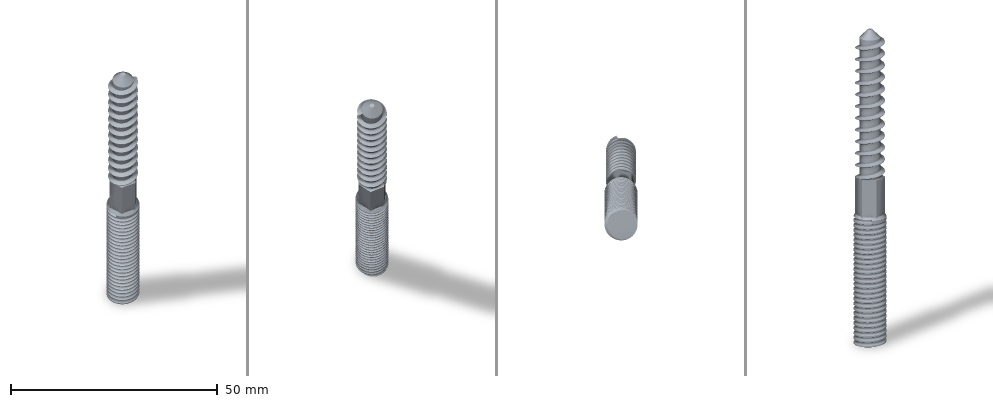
import cadquery as cq
import math

total_length = 80.0
shoulder_top = 33.0
hex_top = 42.5

metric_radius = 4.0
metric_root_radius = 3.3
metric_crest_width = 0.3
groove_root_width = 0.3
groove_end_height = 32.2
groove_end_angle = 310.0
groove_turns = 26.5
metric_pitch = 20 / 16
shoulder_chamfer = 0.6

hex_across_flats = 6.2
hex_corner_diameter = hex_across_flats / math.cos(math.radians(30))
hex_bottom = shoulder_top - shoulder_chamfer

wood_radius = 3.6
wood_core_radius = 2.6
wood_pitch = 12 / 4
ridge_base_width = 1.2
ridge_crest_width = 0.2
ridge_end_height = 77.4
ridge_end_angle = 90.0
point_radius = 0.6
point_height = wood_core_radius - point_radius

overlap = 0.2


def helical_body(inner_radius, inner_width, outer_radius, outer_width, pitch, height):
    """Right-hand helical bar of trapezoid section, starting on the +X side at Z = 0."""
    helix = cq.Wire.makeHelix(pitch, height, inner_radius)
    section = cq.Workplane("XZ").polyline([
        (inner_radius, -inner_width / 2),
        (outer_radius, -outer_width / 2),
        (outer_radius, outer_width / 2),
        (inner_radius, inner_width / 2),
    ]).close()
    return section.sweep(cq.Workplane(obj=helix), isFrenet=True)


def end_at(body, pitch, height, end_angle, end_height):
    """Turn and lift a helical body so that its upper end sits at the given angle and height."""
    swept_angle = 360 * height / pitch
    turned = body.rotate((0, 0, 0), (0, 0, 1), end_angle - swept_angle)
    return turned.translate((0, 0, end_height - height))


def metric_end():
    blank = cq.Workplane("XY").circle(metric_radius).extrude(shoulder_top)
    blank = blank.faces(">Z").chamfer(shoulder_chamfer)

    mouth_width = metric_pitch - metric_crest_width
    widening = (mouth_width - groove_root_width) / (metric_radius - metric_root_radius)
    height = groove_turns * metric_pitch
    groove = helical_body(
        metric_root_radius, groove_root_width,
        metric_radius + overlap, mouth_width + widening * overlap,
        metric_pitch, height,
    )
    return blank.cut(end_at(groove, metric_pitch, height, groove_end_angle, groove_end_height))


def spanner_hex():
    prism = cq.Workplane("XY").polygon(6, hex_corner_diameter).extrude(hex_top - hex_bottom)
    return prism.rotate((0, 0, 0), (0, 0, 1), 90).translate((0, 0, hex_bottom))


def wood_end():
    core = cq.Workplane("XY").workplane(offset=hex_top)
    core = core.circle(wood_core_radius).extrude(total_length - hex_top)
    core = core.faces(">Z").chamfer(point_height)

    height = ridge_end_height - hex_top
    ridge = helical_body(
        wood_core_radius - overlap, ridge_base_width,
        wood_radius, ridge_crest_width,
        wood_pitch, height,
    )
    return core.union(end_at(ridge, wood_pitch, height, ridge_end_angle, ridge_end_height))


result = metric_end().union(spanner_hex()).union(wood_end())